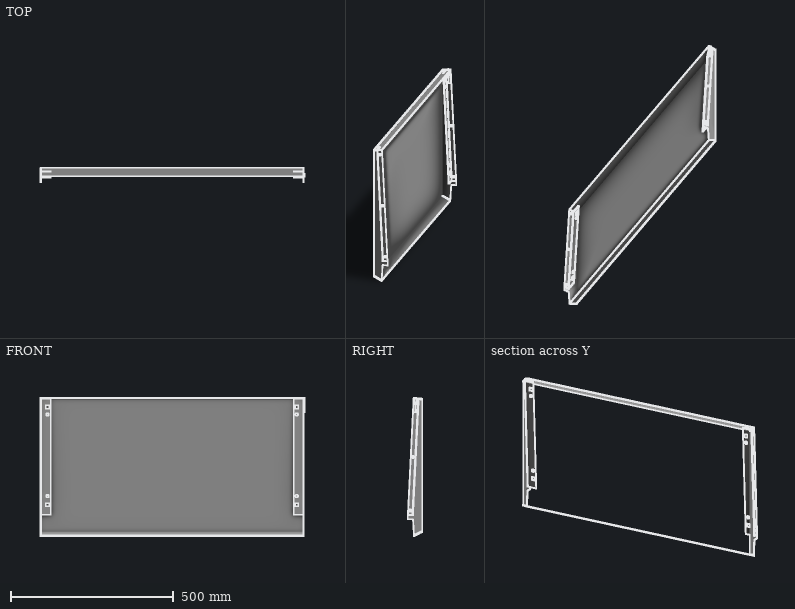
import cadquery as cq
import math

sheet = 2.0

panel_width = 810.0
panel_height = 425.34
tray_depth = 27.0
outer_bend_radius = 2.5
inner_bend_radius = outer_bend_radius - sheet
corner_gap = 0.5

flange_slope = 2.4 / tray_depth
top_sheet_height = sheet * math.sqrt(1 + flange_slope**2)

lip_depth = 26.0
lip_slope = 13.0 / lip_depth
lip_sheet_height = sheet * math.sqrt(1 + lip_slope**2)
lip_corner_z = lip_depth * lip_slope - panel_height

bracket_bottom_z = -360.0
bracket_lean = 17.7 / abs(bracket_bottom_z)
bracket_back_depth = 10.7
bracket_face_depth = bracket_back_depth + sheet
bracket_bend_depth = bracket_back_depth + outer_bend_radius
bracket_front_depth = tray_depth
bracket_width = 32.0
bracket_corner_radius = 4.0

tab_reach = 45.0
tab_top_z = bracket_bottom_z - corner_gap
tab_bottom_z = tab_top_z - 13.0
tab_notch_depth = 28.5
wall_shoulder_depth = 29.0

hole_x = 22.2
square_hole = 10.0
square_hole_heights = (-28.0, -329.0)
round_hole = 8.0
round_hole_heights = (-51.0, -302.0)
web_hole = 6.0
web_hole_heights = (-16.5, -181.5, -346.5)

strip_thickness = 2.0
strip_back_depth = 18.5
strip_front_depth = 25.0
strip_length = 45.0


def plate(outline, x_start, x_end):
    """Solid with a (Y, Z) outline, reaching from x_start to x_end."""
    return cq.Workplane("YZ", origin=(x_start, 0, 0)).polyline(outline).close().extrude(x_end - x_start)


def top_point(depth, drop=0.0):
    """(Y, Z) point of the sloping top face at a depth from the back, or a drop below it."""
    return (-depth, (depth - tray_depth) * flange_slope - drop)


def lip_point(depth, rise=0.0):
    """(Y, Z) point of the lip's lower face at a depth from the back, or a rise above it."""
    return (-depth, lip_corner_z - depth * lip_slope + rise)


def leaning_point(depth, z):
    """(Y, Z) point at height z on the bracket line that is at this depth where Z = 0."""
    return (-depth + bracket_lean * z, z)


def leaning_plate(back_depth, front_depth, bottom_z, x_start, x_end):
    """Plate between two parallel leaning lines, hanging down from Z = 0."""
    outline = [
        leaning_point(back_depth, 0),
        leaning_point(front_depth, 0),
        leaning_point(front_depth, bottom_z),
        leaning_point(back_depth, bottom_z),
    ]
    return plate(outline, x_start, x_end)


def mirrored(body):
    """The same shape at the other end of the panel."""
    return body.mirror("YZ").translate((panel_width, 0, 0))


def leaning_edge(x, depth):
    """Selector of the bracket edge nearest to a point at mid-height of the bracket."""
    y, z = leaning_point(depth, bracket_bottom_z / 2)
    return cq.selectors.NearestToPointSelector((x, y, z))


def bracket_blank():
    """Bent angle of the -X end, without holes."""
    body = leaning_plate(bracket_back_depth, bracket_front_depth, bracket_bottom_z, 0, bracket_width)
    inside = leaning_plate(bracket_face_depth, tab_reach, bracket_bottom_z, sheet, bracket_width)
    body = body.cut(inside)
    body = body.edges(leaning_edge(0, bracket_back_depth)).fillet(outer_bend_radius)
    body = body.edges(leaning_edge(sheet, bracket_face_depth)).fillet(inner_bend_radius)
    above_panel = plate(
        [top_point(0), top_point(tab_reach), (-tab_reach, tab_reach), (0, tab_reach)], 0, bracket_width
    )
    body = body.cut(above_panel)
    corner = (bracket_width, *top_point((bracket_back_depth + bracket_face_depth) / 2))
    return body.edges(cq.selectors.NearestToPointSelector(corner)).fillet(bracket_corner_radius)


def bracket():
    """Angle bracket of the -X end, with holes in its face and its web."""
    body = bracket_blank()
    for z in square_hole_heights:
        start = cq.Workplane("XZ", origin=(hole_x, 0, z))
        body = body.cut(start.rect(square_hole, square_hole).extrude(tab_reach))
    for z in round_hole_heights:
        start = cq.Workplane("XZ", origin=(hole_x, 0, z))
        body = body.cut(start.circle(round_hole / 2).extrude(tab_reach))
    for z in web_hole_heights:
        y, _ = leaning_point((bracket_bend_depth + bracket_front_depth) / 2, z)
        start = cq.Workplane("YZ", origin=(0, y, z))
        body = body.cut(start.circle(web_hole / 2).extrude(sheet))
    return body


def panel_block():
    """Solid envelope of the tray, rounded where the sheet bends around the back."""
    block = plate([top_point(0), top_point(tray_depth), lip_point(lip_depth), lip_point(0)], 0, panel_width)
    return block.faces(">Y").edges().fillet(outer_bend_radius)


def tray_cavity(back_depth, x_start, x_end):
    """Space between the top flange and the lip, in front of back_depth."""
    outline = [
        top_point(back_depth, top_sheet_height),
        top_point(tab_reach, top_sheet_height),
        lip_point(tab_reach, lip_sheet_height),
        lip_point(back_depth, lip_sheet_height),
    ]
    return plate(outline, x_start, x_end)


def side_wall():
    """Wall of the -X end, bent forward from the back plate, with the support tab at its foot."""
    top_drop = top_sheet_height + corner_gap
    foot_rise = lip_sheet_height + corner_gap
    outline = [
        top_point(outer_bend_radius, top_drop),
        top_point(bracket_bend_depth, top_drop),
        leaning_point(bracket_bend_depth, bracket_bottom_z),
        (-tab_notch_depth, bracket_bottom_z),
        (-tab_notch_depth, tab_top_z),
        (-tab_reach, tab_top_z),
        (-tab_reach, tab_bottom_z),
        (-wall_shoulder_depth, tab_bottom_z),
        lip_point(lip_depth, foot_rise),
        lip_point(outer_bend_radius, foot_rise),
    ]
    return plate(outline, 0, sheet)


def panel():
    """Bent tray with slots that let the brackets through the top flange."""
    hollow = tray_cavity(sheet, sheet, panel_width - sheet).faces(">Y").edges().fillet(inner_bend_radius)
    in_front_of_bends = tray_cavity(outer_bend_radius, 0, panel_width)
    body = panel_block().cut(hollow).cut(in_front_of_bends)
    wall = side_wall()
    body = body.union(wall).union(mirrored(wall)).clean()
    bracket_room = bracket_blank()
    return body.cut(bracket_room).cut(mirrored(bracket_room))


def outer_strip():
    """Strip on the outer face of the +X bracket."""
    x_end = panel_width + strip_thickness
    return leaning_plate(strip_back_depth, strip_front_depth, -strip_length, panel_width, x_end)


panel_body = panel()
left_bracket = bracket()
right_bracket = mirrored(left_bracket).union(outer_strip())

result = cq.Compound.makeCompound([panel_body.val(), left_bracket.val(), right_bracket.val()])